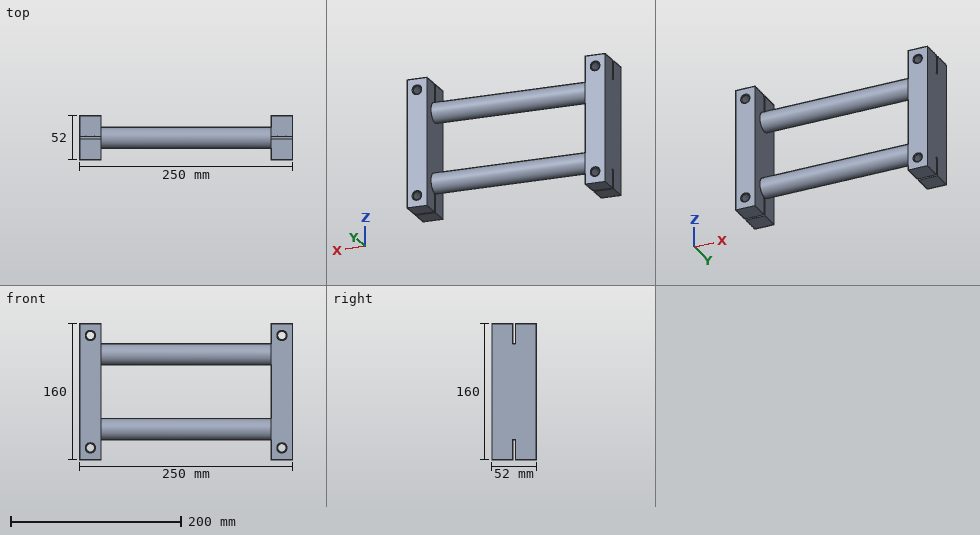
import cadquery as cq

frame_length = 250.0
block_width = 25.0
block_depth = 52.0
block_height = 160.0

rod_diameter = 25.0
rod_length = frame_length - 2 * block_width
rod_spacing = 88.0

slit_width = 3.0
slit_depth = block_height / 2 - rod_spacing / 2 - rod_diameter / 2

hole_diameter = 10.0
hole_spacing = 132.0
hole_chamfer = 1.0

block_x = (frame_length - block_width) / 2


def screw_hole(x, z):
    """Through hole along Y, widened by a chamfer at both block faces."""
    hole = (
        cq.Workplane("XZ", origin=(x, block_depth / 2, z))
        .circle(hole_diameter / 2)
        .extrude(block_depth)
    )
    for side in (-1, 1):
        mouth = cq.Solid.makeCone(
            hole_diameter / 2 + hole_chamfer,
            hole_diameter / 2,
            hole_chamfer,
            pnt=cq.Vector(x, side * block_depth / 2, z),
            dir=cq.Vector(0, -side, 0),
        )
        hole = hole.union(cq.Workplane(mouth))
    return hole


def clamp_block(x):
    """End block with a slit and a screw hole at its top and bottom."""
    block = cq.Workplane("XY").box(block_width, block_depth, block_height).translate((x, 0, 0))
    for end in (-1, 1):
        slit_z = end * (block_height - slit_depth) / 2
        slit = cq.Workplane("XY").box(block_width, slit_width, slit_depth).translate((x, 0, slit_z))
        block = block.cut(slit).cut(screw_hole(x, end * hole_spacing / 2))
    return block


def rod(z):
    """Round rod along X, spanning the gap between the inner block faces."""
    return (
        cq.Workplane("YZ", origin=(-rod_length / 2, 0, z))
        .circle(rod_diameter / 2)
        .extrude(rod_length)
    )


result = clamp_block(-block_x).union(clamp_block(block_x))
for end in (-1, 1):
    result = result.union(rod(end * rod_spacing / 2))